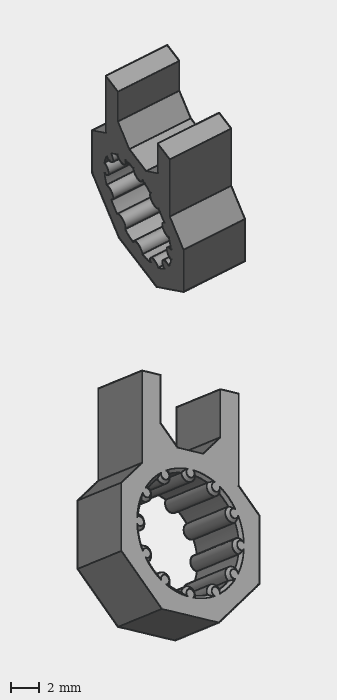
import cadquery as cq
import math

thickness = 5.0
octagon_sides = 8
ring_width = 12.0
fork_top = 11.0
fork_width = 8.4
prong_thickness = 1.6
slot_floor = 6.0
slot_chamfer = 1.5
bore_radius = 4.4
rib_radius = 0.6
rib_count = 12
bore_chamfer = 0.25
chamfer_angle = 45.0

back_face = thickness / 2
ring_half = ring_width / 2
flat_half = ring_half * math.tan(math.pi / octagon_sides)
fork_half = fork_width / 2
slot_half = fork_half - prong_thickness
slot_floor_half = slot_half - slot_chamfer
shoulder = flat_half + ring_half - fork_half


def extrude_through(sketch):
    """Extrude an XZ sketch symmetrically through the thickness."""
    return sketch.extrude(back_face, both=True)


def make_body():
    """Octagonal ring blank with the two-pronged fork on top."""
    right_side = [
        (flat_half, -ring_half),
        (ring_half, -flat_half),
        (ring_half, flat_half),
        (fork_half, shoulder),
        (fork_half, fork_top),
        (slot_half, fork_top),
        (slot_half, slot_floor + slot_chamfer),
        (slot_floor_half, slot_floor),
    ]
    left_side = [(-x, z) for x, z in reversed(right_side)]
    return extrude_through(cq.Workplane("XZ").polyline(right_side + left_side).close())


def make_bore():
    """Bore volume, flared outward at 45 degrees where it opens on the +Y face."""
    bore = extrude_through(cq.Workplane("XZ").circle(bore_radius))
    flare = (
        cq.Workplane("XZ", origin=(0, back_face, 0))
        .circle(bore_radius + bore_chamfer)
        .extrude(bore_chamfer, taper=chamfer_angle)
    )
    return bore.union(flare)


def make_rib(angle):
    """Full-length round rib on the bore wall, chamfered at its +Y end."""
    center_x = bore_radius * math.cos(math.radians(angle))
    center_z = bore_radius * math.sin(math.radians(angle))
    return (
        cq.Workplane("XZ", origin=(center_x, -back_face, center_z))
        .circle(rib_radius)
        .extrude(-thickness)
        .faces(">Y")
        .chamfer(bore_chamfer)
    )


result = make_body().cut(make_bore())
for index in range(rib_count):
    result = result.union(make_rib(index * 360 / rib_count))